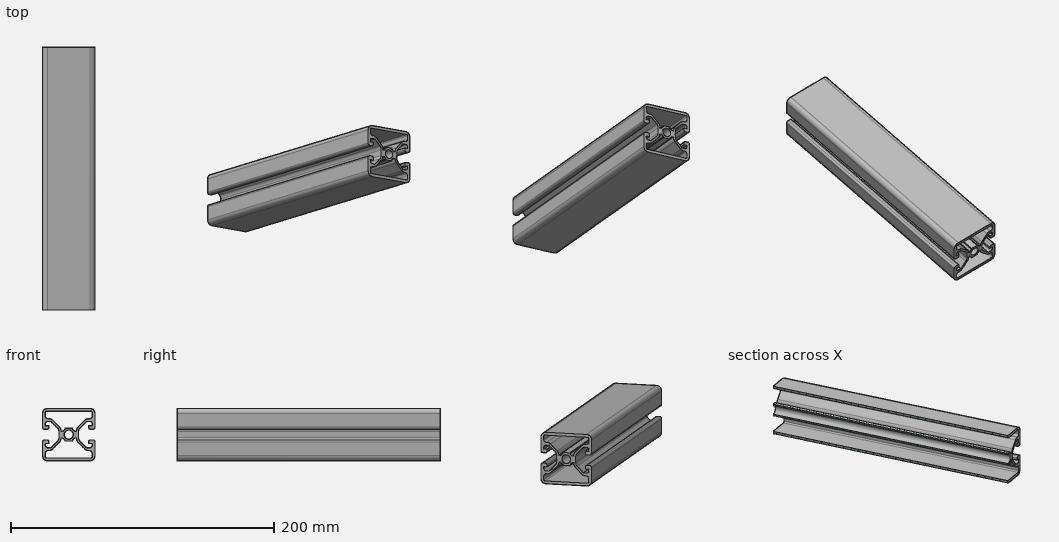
import cadquery as cq
import math

SIZE = 40.0
LENGTH = 200.0
CORNER_RADIUS = 4.0
WALL = 2.25
BORE_DIAMETER = 6.8

SLOT_HALF_OPENING = 4.0
SLOT_HALF_HEIGHT = 9.9
SLOT_FLOOR_X = 7.5
SLOT_ROOT_RADIUS = 4.0
SLOT_FLOOR_HALF_FLAT = 2.2
SLOT_HOOK_RADIUS = 1.8
LIP_DEPTH = 4.9
LIP_THICKNESS = 2.9
LIP_OUTER_RADIUS = 1.6
LIP_INNER_RADIUS = 1.4

WEB_THICKNESS = 1.7
SHELF_THICKNESS = 2.3

CAVITY_CORNER_RADIUS = 1.0
CAVITY_SHELF_RADIUS = 2.0
CAVITY_BEND_RADIUS = 3.5
CAVITY_ROOT_RADIUS = 4.6

BOSS_HALF_HEIGHT = 5.0
BOSS_HALF_WIDTH = 2.9
BOSS_SIDE_HEIGHT = 0.8
NECK_HALF_HEIGHT = 2.6

HALF = SIZE / 2
INNER_HALF = HALF - WALL
SHELF_Z = SLOT_HALF_HEIGHT + SHELF_THICKNESS
ROOT_TURN = math.pi / 4
SLOT_ROOT_Z = SLOT_FLOOR_HALF_FLAT + SLOT_ROOT_RADIUS * math.tan(ROOT_TURN / 2)
SLOT_WEB_OFFSET = SLOT_ROOT_Z - SLOT_FLOOR_X
CAVITY_WEB_OFFSET = SLOT_WEB_OFFSET + WEB_THICKNESS * math.sqrt(2)
CAVITY_ROOT_X = SLOT_FLOOR_X - WEB_THICKNESS
BOSS_FLARE_Z = BOSS_HALF_HEIGHT - BOSS_SIDE_HEIGHT
BOSS_BASE_HALF_WIDTH = BOSS_HALF_WIDTH + BOSS_FLARE_Z - NECK_HALF_HEIGHT


def rounded_outline(corners):
    """Closed outline on the XZ plane from (x, z, radius) corners; radius 0 stays sharp."""
    points = [cq.Vector(x, z) for x, z, _ in corners]
    count = len(corners)
    stretches = []
    for i, corner in enumerate(points):
        radius = corners[i][2]
        before = (points[i - 1] - corner).normalized()
        after = (points[(i + 1) % count] - corner).normalized()
        half_angle = before.getAngle(after) / 2
        tangent_length = radius / math.tan(half_angle)
        apex_distance = radius / math.sin(half_angle) - radius
        start = corner + before * tangent_length
        middle = corner + (before + after).normalized() * apex_distance
        end = corner + after * tangent_length
        stretches.append((start, middle, end, radius))

    first_start = stretches[0][0]
    outline = cq.Workplane("XZ").moveTo(first_start.x, first_start.y)
    for i, (start, middle, end, radius) in enumerate(stretches):
        if i > 0:
            outline = outline.lineTo(start.x, start.y)
        if radius > 0:
            outline = outline.threePointArc((middle.x, middle.y), (end.x, end.y))
    return outline.close()


def prism(outline):
    """Extrude an XZ outline over the full length, centred on the origin."""
    return outline.extrude(LENGTH / 2, both=True)


def mirrored_outline(half, x_sign, z_sign):
    """Complete a half outline with its mirror image, followed back in reverse order."""
    other_half = [(x * x_sign, z * z_sign, radius) for x, z, radius in reversed(half)]
    return rounded_outline(half + other_half)


def body():
    corner_signs = ((-1, -1), (1, -1), (1, 1), (-1, 1))
    corners = [(x * HALF, z * HALF, CORNER_RADIUS) for x, z in corner_signs]
    return prism(rounded_outline(corners))


def slot():
    """Undercut slot on the +X side."""
    lip_x = HALF - LIP_DEPTH
    lip_top = SLOT_HALF_OPENING + LIP_THICKNESS
    half = [
        (SLOT_FLOOR_X, SLOT_ROOT_Z, SLOT_ROOT_RADIUS),
        (SLOT_HALF_HEIGHT - SLOT_WEB_OFFSET, SLOT_HALF_HEIGHT, 0),
        (INNER_HALF, SLOT_HALF_HEIGHT, SLOT_HOOK_RADIUS),
        (INNER_HALF, lip_top, 0),
        (lip_x, lip_top, 0),
        (lip_x, SLOT_HALF_OPENING, LIP_INNER_RADIUS),
        (HALF, SLOT_HALF_OPENING, LIP_OUTER_RADIUS),
        (HALF, SLOT_HALF_OPENING + 2 * LIP_OUTER_RADIUS, 0),
        (HALF + LIP_DEPTH, SLOT_HALF_OPENING + 2 * LIP_OUTER_RADIUS, 0),
    ]
    return prism(mirrored_outline(half, 1, -1))


def cavity():
    """Closed cavity above the centre, wrapped around the upper half of the boss."""
    half = [
        (BOSS_HALF_WIDTH, BOSS_HALF_HEIGHT, 0),
        (BOSS_HALF_WIDTH, BOSS_FLARE_Z, 0),
        (BOSS_BASE_HALF_WIDTH, NECK_HALF_HEIGHT, 0),
        (CAVITY_ROOT_X, NECK_HALF_HEIGHT, 0),
        (CAVITY_ROOT_X, CAVITY_ROOT_X + CAVITY_WEB_OFFSET, CAVITY_ROOT_RADIUS),
        (SHELF_Z - CAVITY_WEB_OFFSET, SHELF_Z, CAVITY_BEND_RADIUS),
        (INNER_HALF, SHELF_Z, CAVITY_SHELF_RADIUS),
        (INNER_HALF, INNER_HALF, CAVITY_CORNER_RADIUS),
    ]
    return prism(mirrored_outline(half, -1, 1))


def bore():
    return prism(cq.Workplane("XZ").circle(BORE_DIAMETER / 2))


result = body().cut(bore())
for cutter, mirror_plane in ((slot(), "YZ"), (cavity(), "XY")):
    result = result.cut(cutter).cut(cutter.mirror(mirror_plane))